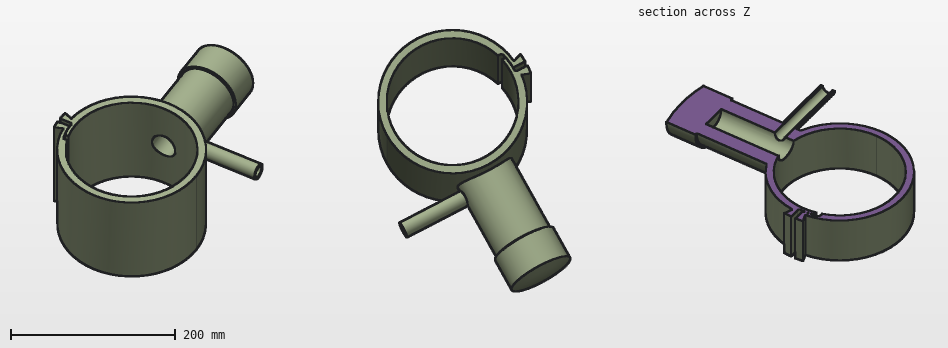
import cadquery as cq
import math

HEIGHT = 128.0
WIDTH_X = 222.95
LENGTH_Y = 321.37

RING_OUTER_R = 90.5
RING_INNER_R = 80.0

LAP_R = (RING_OUTER_R + RING_INNER_R) / 2
LAP_CLEARANCE = 0.2
SLOT_HALF_WIDTH = 2.9
SLOT_CORNER_R = 2.5
TONGUE_END_Y = -18.3
RECESS_END_Y = -25.0
RECESS_CORNER_R = 3.5

LUG_TIP_R = 101.84
LUG_TIP_Y = 13.8
LUG_ROOT_Y = 9.8

CUT_MARGIN = 1.0

BRANCH_R = 37.5
BORE_R = 16.25
CAP_R = 40.7
CAP_START_Y = 184.0
CAP_RIM_Y = 226.5
DOME_TIP_Y = LENGTH_Y - RING_OUTER_R

SIDE_PIPE_R = 10.25
SIDE_BORE_R = 7.2
SIDE_PIPE_Y = 98.5
SIDE_PIPE_END_X = WIDTH_X - math.sqrt(LUG_TIP_R**2 - SLOT_HALF_WIDTH**2)


def on_left(radius, y):
    """Point at the given y on the -X half of a circle about the ring axis."""
    return (-math.sqrt(radius**2 - y**2), y)


def base_plane():
    """Workplane on the bottom face of the ring."""
    return cq.Workplane("XY").workplane(offset=-HEIGHT / 2)


def cylinder_z(radius):
    return base_plane().circle(radius).extrude(HEIGHT)


def cylinder_y(radius, end_y):
    """Cylinder along +Y from the ring axis."""
    return cq.Workplane("XZ").circle(radius).extrude(-end_y)


def side_cylinder(radius):
    """Cylinder along +X from the branch axis to the end of the side pipe."""
    return cq.Workplane("YZ").center(SIDE_PIPE_Y, 0).circle(radius).extrude(SIDE_PIPE_END_X)


def left_block(start_y, end_y):
    """Full-height block on the -X side, from inside the ring bore to beyond the lugs."""
    inner_x = -RING_INNER_R / 2
    outer_x = -LUG_TIP_R - CUT_MARGIN
    return (
        base_plane()
        .moveTo(inner_x, start_y)
        .lineTo(outer_x, start_y)
        .lineTo(outer_x, end_y)
        .lineTo(inner_x, end_y)
        .close()
        .extrude(HEIGHT)
    )


def make_lug():
    """Lug on the +Y side of the split, flaring outwards from the ring wall."""
    return (
        base_plane()
        .moveTo(-LAP_R, SLOT_HALF_WIDTH)
        .lineTo(*on_left(LUG_TIP_R, SLOT_HALF_WIDTH))
        .threePointArc(
            on_left(LUG_TIP_R, (SLOT_HALF_WIDTH + LUG_TIP_Y) / 2),
            on_left(LUG_TIP_R, LUG_TIP_Y),
        )
        .lineTo(*on_left(RING_OUTER_R, LUG_ROOT_Y))
        .lineTo(-LAP_R, LUG_ROOT_Y)
        .close()
        .extrude(HEIGHT)
    )


def make_split():
    """Space that opens the ring: slot, recess in the lower end and lap clearance."""
    tongue_outer_r = LAP_R - LAP_CLEARANCE
    slot = left_block(-SLOT_HALF_WIDTH, SLOT_HALF_WIDTH).cut(cylinder_z(tongue_outer_r))
    slot = slot.edges("|Z").edges(">X and >Y").fillet(SLOT_CORNER_R)
    recess = left_block(RECESS_END_Y, 0).intersect(cylinder_z(LAP_R))
    recess = recess.edges("|Z").edges("<Y").edges("<X").fillet(RECESS_CORNER_R)
    tongue = left_block(TONGUE_END_Y, 0).intersect(cylinder_z(tongue_outer_r))
    return slot.union(recess.cut(tongue))


def make_cap():
    """Domed cap at the far end of the branch, revolved about the Y axis."""
    dome_height = DOME_TIP_Y - CAP_RIM_Y
    dome_r = (CAP_R**2 + dome_height**2) / (2 * dome_height)
    mid_x = CAP_R / 2
    mid_y = DOME_TIP_Y - dome_r + math.sqrt(dome_r**2 - mid_x**2)
    return (
        cq.Workplane("XY")
        .moveTo(0, CAP_START_Y)
        .lineTo(CAP_R, CAP_START_Y)
        .lineTo(CAP_R, CAP_RIM_Y)
        .threePointArc((mid_x, mid_y), (0, DOME_TIP_Y))
        .close()
        .revolve(360, (0, 0), (0, 1))
    )


def make_part():
    lug = make_lug()
    body = cylinder_z(RING_OUTER_R).union(lug).union(lug.mirror("XZ"))
    body = body.union(cylinder_y(BRANCH_R, CAP_START_Y)).union(make_cap())
    body = body.union(side_cylinder(SIDE_PIPE_R))
    body = body.cut(cylinder_z(RING_INNER_R)).cut(make_split())
    body = body.cut(cylinder_y(BORE_R, CAP_START_Y))
    return body.cut(side_cylinder(SIDE_BORE_R)).clean()


result = make_part()